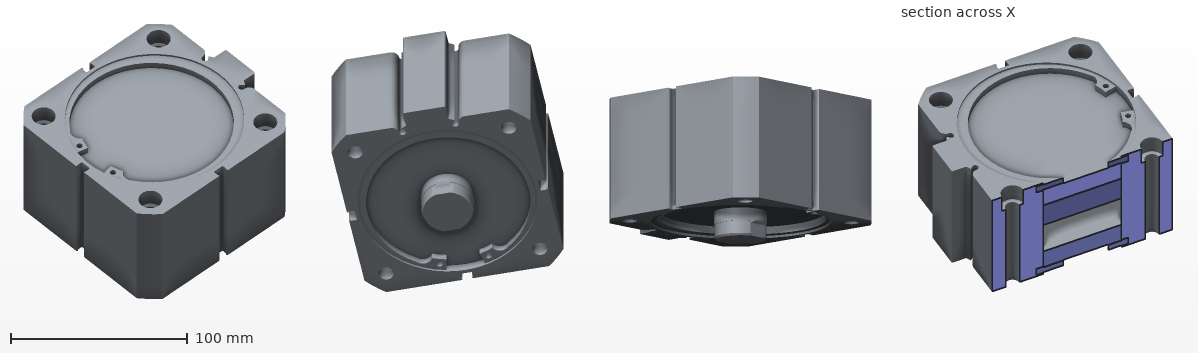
import cadquery as cq
import math

SIDE = 115.0
HALF = SIDE / 2
OVERALL_HEIGHT = 80.0
HEIGHT = 69.7
CORNER_SETBACK = 10.4
CORNER_RADIUS = math.hypot(HALF, HALF - CORNER_SETBACK)
BORE_RADIUS = 50.85

HOLE_OFFSET = 44.4
HOLE_DIAMETER = 8.6
COUNTERBORE_DIAMETER = 13.6
COUNTERBORE_DEPTH = 10.5

SLOT_DEPTH = 4.5
SLOT_HALF_WIDTH = 3.38
SLOT_FLOOR_FILLET = 0.4
LIP_THICKNESS = 0.8
LIP_OUTER_HALF_WIDTH = 3.2
LIP_INNER_HALF_WIDTH = 2.7

RAIL_TOP_Y = 66.5
RAIL_HALF_WIDTH = 12.3
RAIL_EDGE_CHAMFER = 0.5
FLARE_TIP = (15.3, 55.9)
GROOVE_CENTER = (15.25, 53.2)
GROOVE_RADIUS = 2.0
GROOVE_START_ANGLE = math.radians(165)
SHOULDER_RADIUS = 4.3

RING_SETBACK = 1.3
RING_THICKNESS = 4.2
RING_OUTER_RADIUS = 53.15
RING_INNER_RADIUS = 46.6
RING_INNER_SHIFT = 2.2
RING_GAP_HALF_ANGLE = math.radians(12.8)
RING_ROTATION = -0.65
LUG_INNER_RADIUS = 43.2
LUG_CORNER_X = 17.4
LUG_NECK_LOW_POINT = (21.8, -42.4)
LUG_NECK_END_X = 26.2
LUG_HOLE_DIAMETER = 3.6
LUG_HOLE_POSITION = (14.1, -44.6)

COVER_THICKNESS = 12.0
PISTON_THICKNESS = 15.0
ROD_RADIUS = 15.0
ROD_PROJECTION = OVERALL_HEIGHT - HEIGHT
ROD_SHOULDER_PROJECTION = 2.0
ROD_END_RADIUS = 14.7
ROD_END_CHAMFER_RADIAL = 0.8
ROD_END_CHAMFER_AXIAL = 1.2
FLAT_DISTANCE = 13.3
FLAT_RUNOUT_Z = -2.9

SNAP_RING_HEIGHTS = (RING_SETBACK, HEIGHT - RING_SETBACK - RING_THICKNESS)
TOP_COVER_Z = HEIGHT - RING_SETBACK - RING_THICKNESS - COVER_THICKNESS
BOTTOM_COVER_Z = RING_SETBACK + RING_THICKNESS
PISTON_Z = TOP_COVER_Z - PISTON_THICKNESS


def cylinder(radius, z_start, height):
    return cq.Workplane("XY").workplane(offset=z_start).circle(radius).extrude(height)


def make_block():
    """Square block with its four corners turned to one large radius."""
    block = cq.Workplane("XY").rect(SIDE, SIDE).extrude(HEIGHT)
    return block.intersect(cylinder(CORNER_RADIUS, 0, HEIGHT))


def make_sensor_slot():
    """Cutter for the slot in the -Y face."""
    face_y = -HALF
    lip_y = face_y + LIP_THICKNESS
    channel_depth = SLOT_DEPTH - LIP_THICKNESS
    channel = (
        cq.Workplane("XY")
        .center(0, lip_y + channel_depth / 2)
        .rect(2 * SLOT_HALF_WIDTH, channel_depth)
        .extrude(HEIGHT)
        .edges("|Z and >Y")
        .fillet(SLOT_FLOOR_FILLET)
    )
    mouth = (
        cq.Workplane("XY")
        .moveTo(-LIP_OUTER_HALF_WIDTH, face_y)
        .lineTo(LIP_OUTER_HALF_WIDTH, face_y)
        .lineTo(LIP_INNER_HALF_WIDTH, lip_y)
        .lineTo(-LIP_INNER_HALF_WIDTH, lip_y)
        .close()
        .extrude(HEIGHT)
    )
    return channel.union(mouth)


def make_rail():
    """Rectangular rail standing on the +Y face, with its outer edges broken."""
    rail_depth = RAIL_TOP_Y - BORE_RADIUS
    return (
        cq.Workplane("XY")
        .center(0, RAIL_TOP_Y - rail_depth / 2)
        .rect(2 * RAIL_HALF_WIDTH, rail_depth)
        .extrude(HEIGHT)
        .edges("|Z and >Y")
        .chamfer(RAIL_EDGE_CHAMFER)
    )


def make_relief_groove():
    """Cutter for the groove at the +X foot of the rail."""
    center_x, center_y = GROOVE_CENTER
    groove_start = (
        center_x + GROOVE_RADIUS * math.cos(GROOVE_START_ANGLE),
        center_y + GROOVE_RADIUS * math.sin(GROOVE_START_ANGLE),
    )
    groove_bottom = (center_x, center_y - GROOVE_RADIUS)
    shoulder_y = HALF - SHOULDER_RADIUS
    shoulder_x = center_x + math.sqrt(GROOVE_RADIUS**2 - (shoulder_y - center_y) ** 2)
    shoulder_end_x = shoulder_x + SHOULDER_RADIUS
    diagonal = SHOULDER_RADIUS * math.sqrt(0.5)
    shoulder_middle = (shoulder_end_x - diagonal, shoulder_y + diagonal)
    return (
        cq.Workplane("XY")
        .moveTo(RAIL_HALF_WIDTH, HALF)
        .lineTo(*FLARE_TIP)
        .lineTo(*groove_start)
        .threePointArc(groove_bottom, (shoulder_x, shoulder_y))
        .threePointArc(shoulder_middle, (shoulder_end_x, HALF))
        .close()
        .extrude(HEIGHT)
    )


def make_housing():
    housing = make_block().union(make_rail())
    groove = make_relief_groove()
    housing = housing.cut(groove).cut(groove.mirror("YZ"))

    slot = make_sensor_slot()
    for angle in (-90, 0, 90):
        housing = housing.cut(slot.rotate((0, 0, 0), (0, 0, 1), angle))

    housing = housing.cut(cylinder(BORE_RADIUS, 0, HEIGHT))
    for ring_z in SNAP_RING_HEIGHTS:
        housing = housing.cut(cylinder(RING_OUTER_RADIUS, ring_z, RING_THICKNESS))

    return (
        housing.faces(">Z")
        .workplane(origin=(0, 0, HEIGHT))
        .rect(2 * HOLE_OFFSET, 2 * HOLE_OFFSET, forConstruction=True)
        .vertices()
        .cboreHole(HOLE_DIAMETER, COUNTERBORE_DIAMETER, COUNTERBORE_DEPTH)
    )


def polar(radius, angle):
    """Point at an angle from the -Y axis, positive towards +X."""
    return radius * math.sin(angle), -radius * math.cos(angle)


def mirrored(point):
    return -point[0], point[1]


def make_snap_ring():
    """Eccentric ring with two drilled lugs; the gap between them is closed by a thin web at the rim."""
    gap_outer = polar(BORE_RADIUS, RING_GAP_HALF_ANGLE)
    gap_inner = polar(LUG_INNER_RADIUS, RING_GAP_HALF_ANGLE)
    corner_angle = math.asin(LUG_CORNER_X / LUG_INNER_RADIUS)
    lug_corner = polar(LUG_INNER_RADIUS, corner_angle)
    lug_middle = polar(LUG_INNER_RADIUS, (RING_GAP_HALF_ANGLE + corner_angle) / 2)
    neck_drop = math.sqrt(RING_INNER_RADIUS**2 - LUG_NECK_END_X**2)
    neck_end = (LUG_NECK_END_X, -RING_INNER_SHIFT - neck_drop)
    opening = (
        cq.Workplane("XY")
        .moveTo(*gap_outer)
        .lineTo(*gap_inner)
        .threePointArc(lug_middle, lug_corner)
        .threePointArc(LUG_NECK_LOW_POINT, neck_end)
        .threePointArc((0, RING_INNER_RADIUS - RING_INNER_SHIFT), mirrored(neck_end))
        .threePointArc(mirrored(LUG_NECK_LOW_POINT), mirrored(lug_corner))
        .threePointArc(mirrored(lug_middle), mirrored(gap_inner))
        .lineTo(*mirrored(gap_outer))
        .threePointArc((0, -BORE_RADIUS), gap_outer)
        .close()
        .extrude(RING_THICKNESS)
    )
    lug_holes = (
        cq.Workplane("XY")
        .pushPoints([LUG_HOLE_POSITION, mirrored(LUG_HOLE_POSITION)])
        .circle(LUG_HOLE_DIAMETER / 2)
        .extrude(RING_THICKNESS)
    )
    ring = cylinder(RING_OUTER_RADIUS, 0, RING_THICKNESS).cut(opening).cut(lug_holes)
    return ring.rotate((0, 0, 0), (0, 0, 1), RING_ROTATION)


def make_head_cover():
    return cylinder(BORE_RADIUS, TOP_COVER_Z, COVER_THICKNESS)


def make_rod_cover():
    cover = cylinder(BORE_RADIUS, BOTTOM_COVER_Z, COVER_THICKNESS)
    return cover.cut(cylinder(ROD_RADIUS, BOTTOM_COVER_Z, COVER_THICKNESS))


def make_flat_cutter():
    """Cutter for the wrench flat on the -Y side, ending in a 45 degree runout."""
    runout = ROD_RADIUS - FLAT_DISTANCE
    return (
        cq.Workplane("YZ")
        .moveTo(-FLAT_DISTANCE, -ROD_PROJECTION)
        .lineTo(-FLAT_DISTANCE, FLAT_RUNOUT_Z)
        .lineTo(-ROD_RADIUS, FLAT_RUNOUT_Z + runout)
        .lineTo(-ROD_RADIUS, -ROD_PROJECTION)
        .close()
        .extrude(ROD_RADIUS, both=True)
    )


def make_piston_rod():
    """Piston and rod turned as one, with two wrench flats on the rod end."""
    piston_top = PISTON_Z + PISTON_THICKNESS
    profile = [
        (0, -ROD_PROJECTION),
        (ROD_END_RADIUS - ROD_END_CHAMFER_RADIAL, -ROD_PROJECTION),
        (ROD_END_RADIUS, -ROD_PROJECTION + ROD_END_CHAMFER_AXIAL),
        (ROD_END_RADIUS, -ROD_SHOULDER_PROJECTION),
        (ROD_RADIUS, -ROD_SHOULDER_PROJECTION),
        (ROD_RADIUS, PISTON_Z),
        (BORE_RADIUS, PISTON_Z),
        (BORE_RADIUS, piston_top),
        (0, piston_top),
    ]
    rod = cq.Workplane("XZ").polyline(profile).close().revolve(360, (0, 0, 0), (0, 1, 0))
    flat = make_flat_cutter()
    return rod.cut(flat).cut(flat.mirror("XZ"))


housing = make_housing()
snap_rings = [make_snap_ring().translate((0, 0, z)) for z in SNAP_RING_HEIGHTS]
head_cover = make_head_cover()
rod_cover = make_rod_cover()
piston_rod = make_piston_rod()

result = cq.Compound.makeCompound(
    [
        housing.val(),
        *[ring.val() for ring in snap_rings],
        head_cover.val(),
        rod_cover.val(),
        piston_rod.val(),
    ]
)